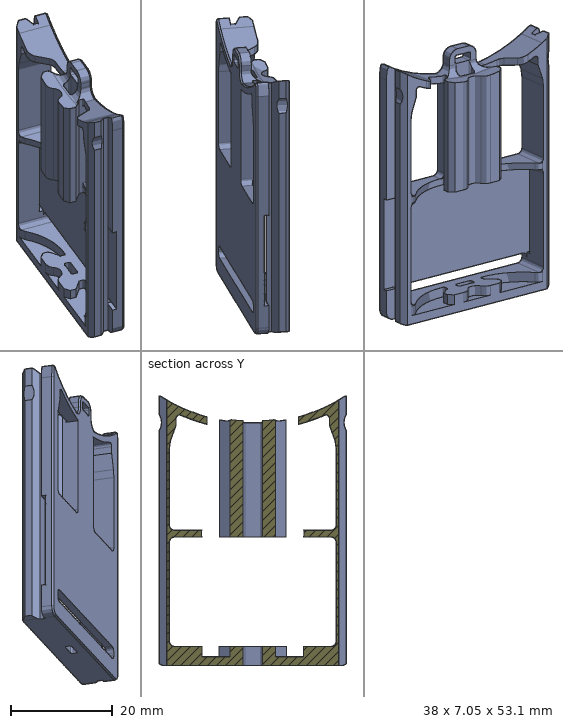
import cadquery as cq
import math

width = 38.0
depth = 7.05
height = 53.1
half_width = width / 2

flange_front = 4.5
groove_half_width = 16.95
groove_front = 3.5
lip_half_width = 18.4
lip_back = 2.35
lip_front = 0.9
front_face_half_width = 17.3

bottom_corner_radius = 1.7
tip_half_width = 18.4
tip_curve_start = 50.4
arch_radius = 33.95
arch_bottom = 47.75
arch_center_z = arch_bottom + arch_radius
arch_half_span = 16.05
back_chamfer_depth = 0.35
back_chamfer_inset = 0.2

lug_half_width = 3.3
lug_corner_radius = 1.95
lug_root_radius = 1.85
lug_front = 4.65
lug_embedded_bottom = 47.05
lug_foot_radius = 2.0
lug_foot_front = lug_front - lug_foot_radius
lug_hole_bottom = 50.05
lug_hole_top = 51.75
lug_hole_corner_radius = 0.35

floor_top = 1.8
bottom_rib_top = 3.8
panel_bottom = 6.3
panel_top = 25.3
middle_rib_top = 26.7

panel_front = 5.4
chamber_half_width = 16.4
opening_corner_radius = 1.0
arch_bar_thickness = 1.45
window_tip_half_width = 15.1
window_taper_top = 47.35
window_taper_half_width = 16.2
window_taper_bottom = 44.25
window_straight_top = 42.7
window_tip_radius = 0.65

column_half_width = 6.6
column_front_half_width = 5.45
column_side_front = 0.9
column_side_back = 2.1
neck_half_width = 4.5
neck_front = 3.75
rib_column_clearance = 0.1
column_groove_half_width = 3.25
column_groove_depth = 1.85

strap_slot_half_width = 1.9
column_slot_front = 3.15
floor_slot_front = 3.35
strap_slot_corner_radius = 0.35

wing_tip_back = 4.85
rib_wing_middle = (10.7, 3.6)
rib_wing_end = (14.75, 0.65)
rib_wing_half_width = 16.2
rib_wing_toe_sag = 0.135
notch_radius = 0.3
arch_wing_shoulder = (8.9, 4.2)
arch_wing_toe = 11.35
arch_wing_shoulder_radius = 1.6
arch_wing_toe_radius = 2.05

detent_z = 47.9
detent_half_height = 1.55
detent_depth = 0.4

margin = 2.65


def box(x_range, y_range, z_range):
    """Axis-aligned box between the given limits."""
    low = (x_range[0], y_range[0], z_range[0])
    size = (x_range[1] - x_range[0], y_range[1] - y_range[0], z_range[1] - z_range[0])
    return cq.Workplane("XY").box(*size, centered=False).translate(low)


def both_sides(solid):
    """The solid together with its mirror image across the YZ plane."""
    return solid.union(solid.mirror("YZ"))


def y_cylinder(x, z, radius):
    """Cylinder along Y that passes through the whole depth."""
    profile = cq.Workplane("XZ", origin=(0, -margin, 0)).center(x, z).circle(radius)
    return profile.extrude(-(depth + 2 * margin))


def arch_height(x, radius=arch_radius):
    """Z of a circle concentric with the arch, at a given X."""
    return arch_center_z - math.sqrt(radius**2 - x**2)


def arch_block():
    """Outer outline with rounded bottom corners and an arched top, through the depth."""
    tip_slope = arch_half_span / (arch_center_z - arch_height(arch_half_span))
    arch_middle_x = arch_half_span / 2
    half = (
        cq.Workplane("XZ")
        .lineTo(half_width, 0)
        .lineTo(half_width, tip_curve_start)
        .spline(
            [(tip_half_width, height), (arch_half_span, arch_height(arch_half_span))],
            tangents=[(0, 1), (-1, -tip_slope)],
            includeCurrent=True,
        )
        .threePointArc((arch_middle_x, arch_height(arch_middle_x)), (0, arch_bottom))
        .close()
        .extrude(-depth)
    )
    half = half.edges(cq.NearestToPointSelector((half_width, depth / 2, 0))).fillet(bottom_corner_radius)
    return chamfer_back(both_sides(half))


def chamfer_back(block):
    """Chamfers the rim of the back face."""
    return block.faces(">Y").chamfer(back_chamfer_depth, back_chamfer_inset)


def rail_section():
    """Cross-section shared by the whole height: back flange, side groove and front lip."""
    half = [
        (0, depth),
        (half_width, depth),
        (half_width, flange_front),
        (groove_half_width, flange_front),
        (groove_half_width, groove_front),
        (lip_half_width, lip_back),
        (lip_half_width, lip_front),
        (front_face_half_width, 0),
        (0, 0),
    ]
    return both_sides(cq.Workplane("XY").polyline(half).close().extrude(height))


def lug():
    """Lug that grows out of the arch, with concave fillets at its sides and at its front foot."""
    root_x = lug_half_width + lug_root_radius
    root_z = arch_height(root_x, arch_radius - lug_root_radius)
    root_end_x = root_x * arch_radius / (arch_radius - lug_root_radius)
    root_angle = (math.atan2(root_z - arch_center_z, root_x) - math.pi) / 2
    root_middle = (
        root_x + lug_root_radius * math.cos(root_angle),
        root_z + lug_root_radius * math.sin(root_angle),
    )
    half = (
        cq.Workplane("XZ", origin=(0, lug_foot_front, 0))
        .moveTo(0, lug_embedded_bottom)
        .lineTo(root_end_x, lug_embedded_bottom)
        .lineTo(root_end_x, arch_height(root_end_x))
        .threePointArc(root_middle, (lug_half_width, root_z))
        .lineTo(lug_half_width, height)
        .lineTo(0, height)
        .close()
        .extrude(lug_foot_front - depth)
    )
    corner = cq.NearestToPointSelector((lug_half_width, (lug_foot_front + depth) / 2, height))
    half = half.edges(corner).fillet(lug_corner_radius)
    return chamfer_back(both_sides(half)).cut(lug_relief())


def lug_relief():
    """Ring around the arch axis that trims the front of the lug and rounds its foot."""
    foot_center_z = arch_bottom + lug_foot_radius
    foot_step = lug_foot_radius * math.sqrt(0.5)
    foot_middle = (lug_foot_front + foot_step, foot_center_z - foot_step)
    profile = (
        cq.Workplane("YZ")
        .moveTo(-margin, arch_bottom)
        .lineTo(lug_foot_front, arch_bottom)
        .threePointArc(foot_middle, (lug_front, foot_center_z))
        .lineTo(lug_front, height + margin)
        .lineTo(-margin, height + margin)
        .close()
    )
    ring = profile.revolve(360, (0, arch_center_z), (1, arch_center_z))
    return ring.rotate((0, 0, arch_center_z), (0, 1, arch_center_z), 180)


def lug_hole():
    """Opening through the lug along Y."""
    hole = box(
        (-strap_slot_half_width, strap_slot_half_width),
        (0, depth + margin),
        (lug_hole_bottom, lug_hole_top),
    )
    return hole.edges("|Y").fillet(lug_hole_corner_radius)


def strap_slot(front, bottom, top):
    """Slot along Z, level at the back with the front of the lug."""
    slot = box((-strap_slot_half_width, strap_slot_half_width), (front, lug_front), (bottom, top))
    return slot.edges("|Z").fillet(strap_slot_corner_radius)


def chamber():
    """Room in front of the panel, the gap below the panel and the slit across both sides."""
    x_range = (-chamber_half_width, chamber_half_width)
    room = box(x_range, (-margin, panel_front), (bottom_rib_top, panel_top))
    gap = box(x_range, (-margin, depth + margin), (bottom_rib_top, panel_bottom))
    slit = box((-width, width), (flange_front, panel_front), (panel_bottom, panel_top))
    room = room.edges("|Y").fillet(opening_corner_radius)
    gap = gap.edges("|Y").fillet(opening_corner_radius)
    return room.union(gap).union(slit)


def column_side(clearance):
    """Right-hand side of the column, from its front face to the back of its neck."""
    return [
        (column_front_half_width + clearance, 0),
        (column_half_width + clearance, column_side_front),
        (column_half_width + clearance, column_side_back),
        (neck_half_width, neck_front),
        (neck_half_width, wing_tip_back),
    ]


def round_notch(pocket, middle_z):
    """Rounds the inner end of a pocket, where a wing meets the neck of the column."""
    corner = cq.NearestToPointSelector((neck_half_width, wing_tip_back, middle_z))
    return pocket.edges(corner).fillet(notch_radius)


def rib_pocket(bottom, top, clearance):
    """Pockets left between the column and the wings of a rib."""
    toe_middle = (
        (rib_wing_end[0] + rib_wing_half_width) / 2,
        rib_wing_end[1] / 2 - rib_wing_toe_sag,
    )
    pocket = (
        cq.Workplane("XY", origin=(0, 0, bottom))
        .polyline(column_side(clearance))
        .threePointArc(rib_wing_middle, rib_wing_end)
        .threePointArc(toe_middle, (rib_wing_half_width, 0))
        .close()
        .extrude(top - bottom)
    )
    pocket = round_notch(pocket, (bottom + top) / 2)
    return both_sides(pocket)


def arch_pocket():
    """Pockets left between the column and the wings of the arch bar."""
    bottom = middle_rib_top
    top = height + margin
    middle_z = (bottom + top) / 2
    outline = column_side(0) + [arch_wing_shoulder, (arch_wing_toe, 0)]
    pocket = cq.Workplane("XY", origin=(0, 0, bottom)).polyline(outline).close().extrude(top - bottom)
    pocket = pocket.union(box((column_front_half_width, half_width), (-margin, 0), (bottom, top)))
    toe = cq.NearestToPointSelector((arch_wing_toe, 0, middle_z))
    shoulder = cq.NearestToPointSelector((*arch_wing_shoulder, middle_z))
    pocket = pocket.edges(toe).fillet(arch_wing_toe_radius)
    pocket = pocket.edges(shoulder).fillet(arch_wing_shoulder_radius)
    pocket = round_notch(pocket, middle_z)
    return both_sides(pocket)


def column_groove(bottom, top):
    """Bell-shaped groove in the front of the column, made of tangent arcs of one radius."""
    radius = (column_groove_half_width**2 + column_groove_depth**2) / (4 * column_groove_depth)
    half_angle = math.asin(column_groove_half_width / 2 / radius) / 2
    crest_y = column_groove_depth - radius
    x_step = radius * math.sin(half_angle)
    y_step = radius * math.cos(half_angle)
    bend = (column_groove_half_width / 2, column_groove_depth / 2)
    half = (
        cq.Workplane("XY", origin=(0, 0, bottom))
        .lineTo(column_groove_half_width, 0)
        .threePointArc((column_groove_half_width - x_step, radius - y_step), bend)
        .threePointArc((x_step, crest_y + y_step), (0, column_groove_depth))
        .close()
        .extrude(top - bottom)
    )
    return both_sides(half)


def windows():
    """Openings on both sides of the column, under the arch bar."""
    window_arch_radius = arch_radius + arch_bar_thickness
    tip_top = arch_height(window_tip_half_width, window_arch_radius)
    profile = [
        (0, middle_rib_top),
        (chamber_half_width, middle_rib_top),
        (chamber_half_width, window_straight_top),
        (window_taper_half_width, window_taper_bottom),
        (window_tip_half_width, window_taper_top),
        (window_tip_half_width, height),
        (0, height),
    ]
    half = cq.Workplane("XZ").polyline(profile).close().extrude(-depth)
    half = half.cut(y_cylinder(0, arch_center_z, window_arch_radius))
    half = half.cut(box((0, neck_half_width), (0, depth), (0, height)))
    rounded = [
        (chamber_half_width, middle_rib_top, opening_corner_radius),
        (neck_half_width, middle_rib_top, opening_corner_radius),
        (window_tip_half_width, tip_top, window_tip_radius),
    ]
    for x, z, radius in rounded:
        half = half.edges(cq.NearestToPointSelector((x, depth / 2, z))).fillet(radius)
    column = cq.Workplane("XY").polyline([(0, 0)] + column_side(0) + [(0, wing_tip_back)]).close()
    return both_sides(half.cut(column.extrude(height)))


def detents():
    """Round scoops across the side lips."""
    radius = (detent_half_height**2 + detent_depth**2) / (2 * detent_depth)
    scoop = y_cylinder(lip_half_width - detent_depth + radius, detent_z, radius)
    scoop = scoop.intersect(box((0, width), (-margin, groove_front), (0, height)))
    return both_sides(scoop)


result = (
    arch_block()
    .intersect(rail_section())
    .union(lug())
    .cut(lug_hole())
    .cut(chamber())
    .cut(windows())
    .cut(rib_pocket(floor_top, bottom_rib_top, rib_column_clearance))
    .cut(rib_pocket(panel_top, middle_rib_top, 0))
    .cut(arch_pocket())
    .cut(column_groove(floor_top, bottom_rib_top))
    .cut(column_groove(panel_top, height))
    .cut(strap_slot(column_slot_front, panel_top, height))
    .cut(strap_slot(floor_slot_front, 0, bottom_rib_top))
    .cut(detents())
)